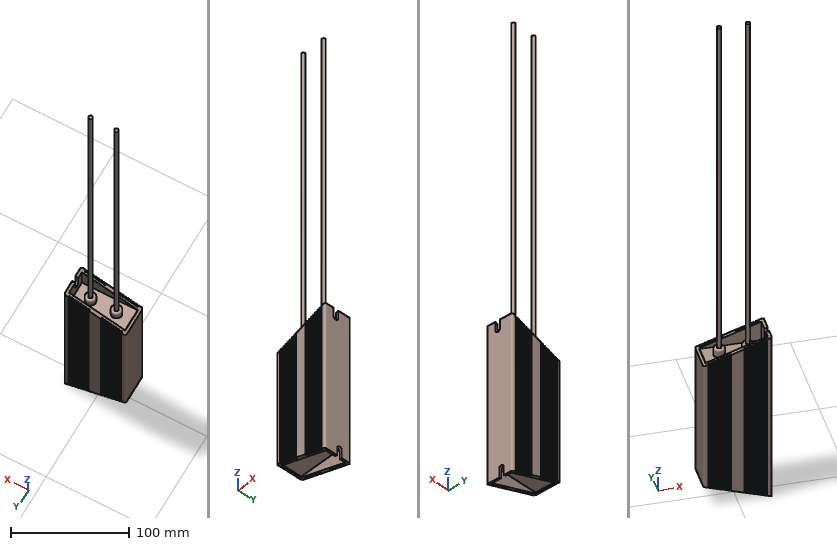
import cadquery as cq

total_height = 484.0
width = 60.0
depth = 30.0
long_side = 165.0
short_side = 125.0
corner_radius = 2.0
side_wall = 3.0
face_wall = 4.0
end_drop = (long_side - short_side) / 2

middle_strip = 11.5
plain_edge = 4.5
groove_depth = 1.5
grooves_per_band = 8
band_width = (width - middle_strip) / 2 - plain_edge
groove_width = band_width / (2 * grooves_per_band - 1)
groove_pitch = 2 * groove_width

slot_width = 5.5
slot_length = 11.5
slot_offset = 2.2

potting_bottom = end_drop
potting_top = long_side - end_drop

lead_spacing = 25.0
lead_diameter = 4.0
gland_diameter = 10.0
gland_height = 7.5
gland_rounding = 1.5


def slanted_blank():
    """Side outline of the housing, swept through its whole depth."""
    left = -width / 2
    right = width / 2
    return (
        cq.Workplane("XZ")
        .polyline([
            (right, 0),
            (right, long_side),
            (left, long_side - end_drop),
            (left, end_drop),
        ])
        .close()
        .extrude(depth / 2, both=True)
    )


def cooling_grooves():
    """Cutter for every groove in both faces, as tall as the housing."""
    first = middle_strip / 2 + groove_width / 2
    centres = [first + i * groove_pitch for i in range(grooves_per_band)]
    points = [
        (side * x, face * (depth - groove_depth) / 2)
        for side in (-1, 1)
        for face in (-1, 1)
        for x in centres
    ]
    return (
        cq.Workplane("XY")
        .pushPoints(points)
        .rect(groove_width, groove_depth)
        .extrude(long_side)
    )


def mounting_slot(y, open_end, direction):
    """Round-ended slot through the +X wall, running inwards from open_end."""
    wall_centre = (width - side_wall) / 2
    cut_through = 2 * side_wall
    round_centre = open_end + direction * (slot_length - slot_width / 2)
    straight = (
        cq.Workplane("XY")
        .box(cut_through, slot_width, 2 * abs(round_centre - open_end))
        .translate((wall_centre, y, open_end))
    )
    rounded = (
        cq.Workplane("YZ", origin=(wall_centre - cut_through / 2, 0, 0))
        .center(y, round_centre)
        .circle(slot_width / 2)
        .extrude(cut_through)
    )
    return straight.union(rounded)


def cavity(bottom, top):
    """Space inside the tube between two heights."""
    return (
        cq.Workplane("XY", origin=(0, 0, bottom))
        .rect(width - 2 * side_wall, depth - 2 * face_wall)
        .extrude(top - bottom)
    )


def housing():
    """Grooved, open tube with slanted ends and its two mounting slots."""
    tube = (
        cq.Workplane("XY")
        .rect(width, depth)
        .extrude(long_side)
        .edges("|Z")
        .fillet(corner_radius)
        .cut(cooling_grooves())
        .cut(cavity(0, long_side))
    )
    return (
        tube.intersect(slanted_blank())
        .cut(mounting_slot(slot_offset, 0, 1))
        .cut(mounting_slot(-slot_offset, long_side, -1))
    )


def upright_pair(diameter, top):
    """Two cylinders standing on the potting block, one per lead."""
    return (
        cq.Workplane("XY", origin=(0, 0, potting_top))
        .pushPoints([(-lead_spacing / 2, 0), (lead_spacing / 2, 0)])
        .circle(diameter / 2)
        .extrude(top - potting_top)
    )


glands = (
    upright_pair(gland_diameter, potting_top + gland_height)
    .edges(">Z")
    .fillet(gland_rounding)
)
leads = upright_pair(lead_diameter, total_height)
potting = cavity(potting_bottom, potting_top)

result = housing().union(potting).union(glands).union(leads)